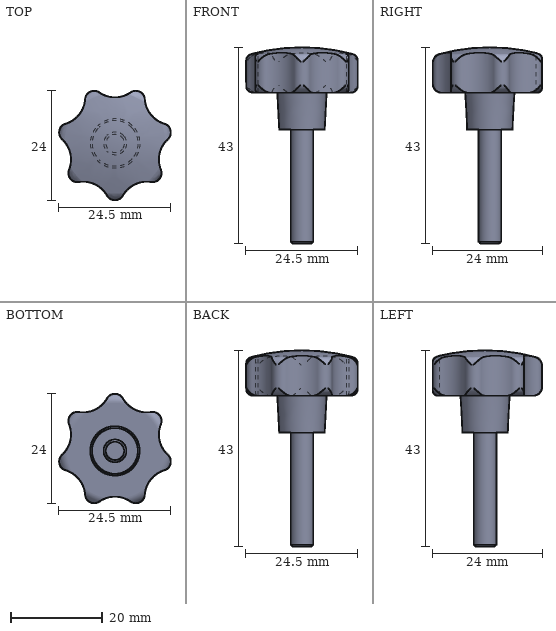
import cadquery as cq
import math


lobe_count = 7
lobe_circle_radius = 10.5
lobe_tip_radius = 2.0
scallop_radius = 6.0
head_height = 10.0
dome_radius = 42.0
rim_fillet = 2.0
head_radius = lobe_circle_radius + lobe_tip_radius

hub_height = 8.0
hub_bottom_diameter = 10.0
hub_taper = math.radians(3)
hub_top_diameter = hub_bottom_diameter + 2 * hub_height * math.tan(hub_taper)

stud_diameter = 5.0
stud_length = 25.0
stud_chamfer = 0.5

first_lobe_angle = -math.pi / 2
lobe_pitch = 2 * math.pi / lobe_count
half_pitch = lobe_pitch / 2

tangent_distance = scallop_radius + lobe_tip_radius
scallop_circle_radius = lobe_circle_radius * math.cos(half_pitch) + math.sqrt(
    tangent_distance**2 - (lobe_circle_radius * math.sin(half_pitch)) ** 2
)
valley_radius = scallop_circle_radius - scallop_radius


def polar(radius, angle):
    return (radius * math.cos(angle), radius * math.sin(angle))


def tangent_point(lobe_angle, side):
    """Point where a lobe tip meets the scallop on its side (+1 or -1)."""
    lobe_x, lobe_y = polar(lobe_circle_radius, lobe_angle)
    scallop_x, scallop_y = polar(scallop_circle_radius, lobe_angle + side * half_pitch)
    fraction = lobe_tip_radius / tangent_distance
    return (lobe_x + fraction * (scallop_x - lobe_x), lobe_y + fraction * (scallop_y - lobe_y))


def lobed_prism():
    outline = cq.Workplane("XY").workplane(offset=hub_height)
    outline = outline.moveTo(*tangent_point(first_lobe_angle, -1))
    for index in range(lobe_count):
        angle = first_lobe_angle + index * lobe_pitch
        next_lobe_start = tangent_point(angle + lobe_pitch, -1)
        outline = outline.threePointArc(polar(head_radius, angle), tangent_point(angle, 1))
        outline = outline.threePointArc(polar(valley_radius, angle + half_pitch), next_lobe_start)
    return outline.close().extrude(head_height)


def domed_disc():
    """Round blank of the head: spherical top, flat underside, both rims rounded."""
    head_top = hub_height + head_height
    dome_sag = dome_radius - math.sqrt(dome_radius**2 - head_radius**2)
    half_sag = dome_radius - math.sqrt(dome_radius**2 - (head_radius / 2) ** 2)
    blank = (
        cq.Workplane("XZ")
        .moveTo(0, hub_height)
        .lineTo(head_radius, hub_height)
        .lineTo(head_radius, head_top - dome_sag)
        .threePointArc((head_radius / 2, head_top - half_sag), (0, head_top))
        .close()
        .revolve(360, (0, 0, 0), (0, 1, 0))
    )
    return blank.edges("%CIRCLE").fillet(rim_fillet)


def tapered_hub():
    return (
        cq.Workplane("XY")
        .circle(hub_bottom_diameter / 2)
        .workplane(offset=hub_height)
        .circle(hub_top_diameter / 2)
        .loft()
    )


def stud():
    rod = cq.Workplane("XY").circle(stud_diameter / 2).extrude(-stud_length)
    return rod.faces("<Z").chamfer(stud_chamfer)


head = domed_disc().intersect(lobed_prism())
result = head.union(tapered_hub()).union(stud())